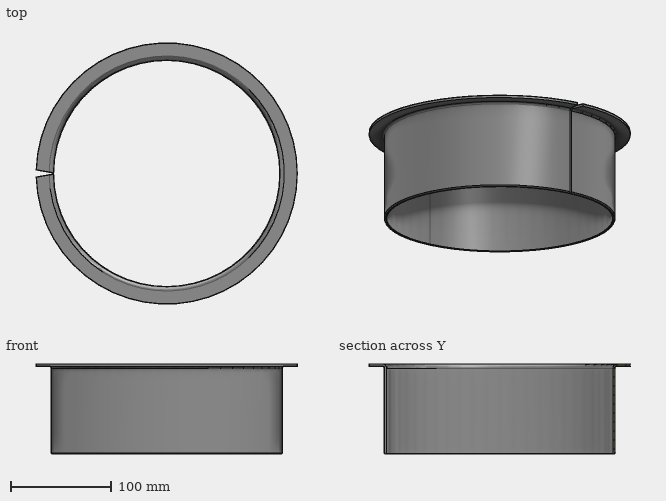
import cadquery as cq
import math

height = 90.0
flange_radius = 130.0
sleeve_radius = 115.0
wall = 2.5
outside_bend_radius = 2.0
rim_bevel_height = 1.4
rim_bevel_depth = 0.8
bore_bevel = 0.5
bore_gap_width = 0.9
mouth_gap_width = 7.0

bore_radius = sleeve_radius - wall
inside_bend_radius = outside_bend_radius + wall
bend_centre_radius = sleeve_radius + outside_bend_radius
flange_underside = height - wall
bend_bottom = flange_underside - outside_bend_radius
diagonal = math.sqrt(0.5)


def bend_midpoint(radius):
    """Halfway point of a bend arc, as (distance from axis, height)."""
    offset = radius * diagonal
    return (bend_centre_radius - offset, bend_bottom + offset)


def make_flanged_sleeve():
    """Revolve the L-shaped sheet section around the Z axis."""
    section = (
        cq.Workplane("XZ")
        .moveTo(bore_radius, bore_bevel)
        .lineTo(bore_radius + bore_bevel, 0)
        .lineTo(sleeve_radius - rim_bevel_depth, 0)
        .lineTo(sleeve_radius, rim_bevel_height)
        .lineTo(sleeve_radius, bend_bottom)
        .threePointArc(bend_midpoint(outside_bend_radius), (bend_centre_radius, flange_underside))
        .lineTo(flange_radius, flange_underside)
        .lineTo(flange_radius, height)
        .lineTo(bend_centre_radius, height)
        .threePointArc(bend_midpoint(inside_bend_radius), (bore_radius, bend_bottom))
        .close()
    )
    return section.revolve(360, (0, 0, 0), (0, 1, 0))


def make_split():
    """Full-height gap on the -X side, widening evenly from the bore to the flange edge."""
    half_bore_gap = bore_gap_width / 2
    half_mouth = mouth_gap_width / 2
    inner_end = bore_radius / 2
    return (
        cq.Workplane("XY")
        .polyline([
            (-inner_end, half_bore_gap),
            (-bore_radius, half_bore_gap),
            (-flange_radius, half_mouth),
            (-flange_radius, -half_mouth),
            (-bore_radius, -half_bore_gap),
            (-inner_end, -half_bore_gap),
        ])
        .close()
        .extrude(height)
    )


result = make_flanged_sleeve().cut(make_split())